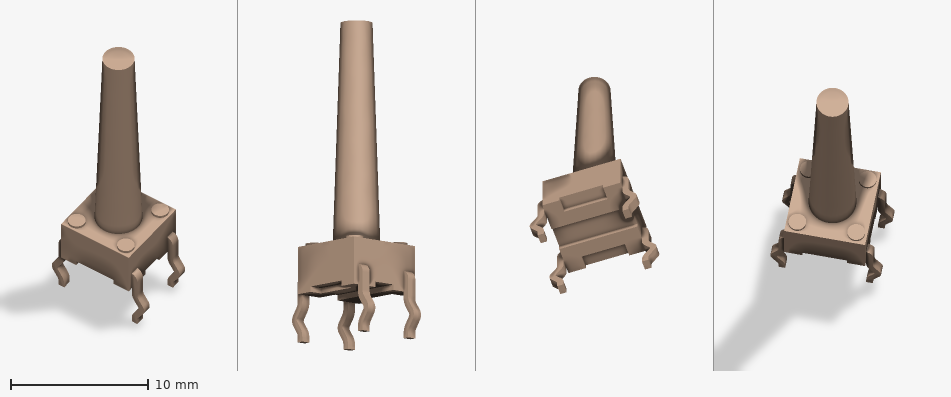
import cadquery as cq
import math

body_side = 6.0
body_bottom = 3.45
body_top = 6.95
body_half = body_side / 2

stem_top = 23.45
stem_base_diameter = 3.5
stem_tip_diameter = 2.35

rivet_diameter = 1.3
rivet_height = 0.2
rivet_pitch = 4.35

relief_depth = 0.4
channel_width = 1.75
notch_width = 3.33
notch_depth = 1.0

lead_thickness = 0.5
lead_width = 0.7
lead_pitch = 4.5
lead_reach = 4.1
shoulder_radius = 0.63
shoulder_z = 4.35
kink_radius = 0.7
kink_angle = math.radians(35)
kink_z = 1.66


def make_body():
    body = (
        cq.Workplane("XY", origin=(0, 0, body_bottom))
        .rect(body_side, body_side)
        .extrude(body_top - body_bottom)
    )
    channel = (
        cq.Workplane("XY", origin=(0, 0, body_bottom))
        .rect(body_side, channel_width)
        .extrude(relief_depth)
    )
    notches = (
        cq.Workplane("XY", origin=(0, 0, body_bottom))
        .pushPoints([(0, -body_half), (0, body_half)])
        .rect(notch_width, 2 * notch_depth)
        .extrude(relief_depth)
    )
    return body.cut(channel).cut(notches)


def make_stem():
    return (
        cq.Workplane("XY", origin=(0, 0, body_top))
        .circle(stem_base_diameter / 2)
        .workplane(offset=stem_top - body_top)
        .circle(stem_tip_diameter / 2)
        .loft()
    )


def make_rivets():
    return (
        cq.Workplane("XY", origin=(0, 0, body_top))
        .rect(rivet_pitch, rivet_pitch, forConstruction=True)
        .vertices()
        .circle(rivet_diameter / 2)
        .extrude(rivet_height)
    )


def kink_points(straight_x, crest_x, knee_radius, crest_radius, knee_rise):
    """Points down one lead face: knee arc, slope, crest arc, slope, knee arc."""

    def knee(angle):
        x = straight_x + knee_radius * (1 - math.cos(angle))
        return x, knee_rise - knee_radius * math.sin(angle)

    def crest(angle):
        x = crest_x - crest_radius * (1 - math.cos(angle))
        return x, crest_radius * math.sin(angle)

    upper = [knee(0), knee(kink_angle / 2), knee(kink_angle), crest(kink_angle)]
    lower = [(x, -z) for x, z in reversed(upper)]
    points = upper + [crest(0)] + lower
    return [(x, kink_z + z) for x, z in points]


def draw_kink(outline, points):
    knee_in, knee_mid, knee_out, crest_in, crest, crest_out, exit_in, exit_mid, exit_out = points
    return (
        outline.lineTo(*knee_in)
        .threePointArc(knee_mid, knee_out)
        .lineTo(*crest_in)
        .threePointArc(crest, crest_out)
        .lineTo(*exit_in)
        .threePointArc(exit_mid, exit_out)
    )


def make_lead():
    """Lead on the +X side, centred on Y = 0, its inner face flush with the housing."""
    inner_x = body_half
    outer_x = inner_x + lead_thickness
    inner_radius = kink_radius + lead_thickness

    bend_offset = 2 * kink_radius * (1 - math.cos(kink_angle))
    slope_length = (lead_reach - outer_x - bend_offset) / math.sin(kink_angle)
    knee_rise = 2 * kink_radius * math.sin(kink_angle) + slope_length * math.cos(kink_angle)

    outer_face = kink_points(outer_x, lead_reach, kink_radius, kink_radius, knee_rise)
    inner_face = kink_points(
        inner_x, lead_reach - lead_thickness, inner_radius, kink_radius - lead_thickness, knee_rise
    )

    shoulder_x = outer_x - shoulder_radius
    shoulder_diagonal = shoulder_radius * math.sqrt(0.5)
    outline = (
        cq.Workplane("XZ", origin=(0, lead_width / 2, 0))
        .moveTo(shoulder_x, shoulder_z)
        .lineTo(shoulder_x, shoulder_z + shoulder_radius)
        .threePointArc(
            (shoulder_x + shoulder_diagonal, shoulder_z + shoulder_diagonal),
            (outer_x, shoulder_z),
        )
    )
    outline = draw_kink(outline, outer_face)
    outline = outline.lineTo(outer_x, 0).lineTo(inner_x, 0)
    outline = draw_kink(outline, inner_face[::-1])
    return outline.lineTo(inner_x, shoulder_z).close().extrude(lead_width)


result = make_body().union(make_stem()).union(make_rivets())
lead = make_lead()
for y in (-lead_pitch / 2, lead_pitch / 2):
    right_lead = lead.translate((0, y, 0))
    result = result.union(right_lead).union(right_lead.mirror("YZ"))